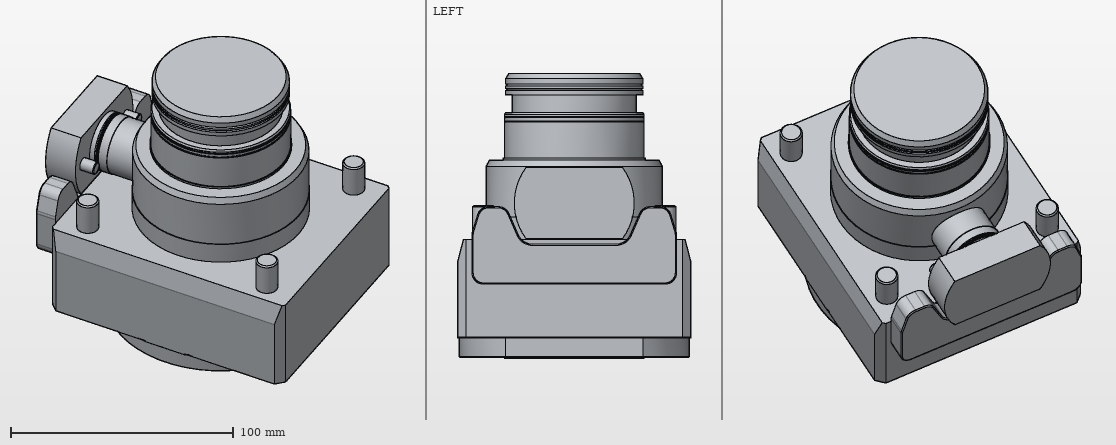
import cadquery as cq

overall_length = 135.0

block_length = 119.6
block_width = 105.0
block_height = 44.0
corner_chamfer = 3.8
bevel_drop = 10.0
bevel_inset = 2.5
block_face_x = -block_length / 2

gasket_diameter = 106.9
gasket_thickness = 0.4
flange_diameter = 104.0
flange_flat_width = 83.4
flange_bottom = -9.2
flange_chamfer = 0.4
lip_diameter = 63.0
lip_bottom = -9.7

collar_diameter = 80.0
collar_top = 54.1
drum_diameter = 79.5
drum_top = 79.6
drum_bevel_inset = 1.5
drum_bevel_drop = 2.8
step_diameter = 64.0
step_top = 80.6
body_diameter = 63.0
body_top = 101.1
neck_diameter = 56.0
neck_top = 109.1
cap_diameter = 62.0
cap_top = 118.8
cap_crown_diameter = 58.9
cap_bevel_drop = 2.4
body_rim_diameter = 62.0
body_rim_bevel_drop = 1.0
body_groove_diameter = 62.0
body_groove_levels = (99.1, 97.0)
body_groove_height = 0.4
cap_groove_diameter = 59.8
cap_groove_top = 114.0
cap_groove_bottom = 111.1
cap_groove_height = 1.0

pin_diameter = 10.0
pin_top = 59.3
pin_chamfer = 0.7
pin_spacing_x = 91.8
pin_spacing_y = 81.8

knob_z = 60.3
knob_diameter = 54.0
knob_flat_height = 32.0
knob_thickness = overall_length - block_length
shaft_diameter = 26.9
sleeve_diameter = 27.4
sleeve_length = 8.8
seal_diameter = 27.5
seal_starts = (2.4, 3.8)
seal_width = 0.7
stud_diameter = 6.0
stud_length = 7.0
stud_chamfer = 0.4
stud_spacing = 40.0

guard_thickness = 10.0
guard_half_width = 46.0
guard_bottom = 23.9
guard_top = 58.7
guard_shoulder_y = 42.4
guard_shoulder_z = 47.0
notch_floor_z = 41.8
notch_floor_half_width = 23.4
notch_mouth_half_width = 30.8
guard_radius = 5.0
notch_radius = 7.0
guard_edge_chamfer = 0.5


def disc(diameter, bottom, top):
    return cq.Workplane("XY").workplane(offset=bottom).circle(diameter / 2).extrude(top - bottom)


def side_rod(diameter, length, y=0.0, start=0.0):
    """Round rod along +X, measured from the block's -X face at knob height."""
    plane = cq.Workplane("YZ", origin=(block_face_x + start, y, knob_z))
    return plane.circle(diameter / 2).extrude(length)


def make_block():
    block = cq.Workplane("XY").box(block_length, block_width, block_height, centered=(True, True, False))
    block = block.edges("|Z").chamfer(corner_chamfer)
    half_width = block_width / 2
    bevel_outline = [
        (-half_width, 0),
        (half_width, 0),
        (half_width, block_height - bevel_drop),
        (half_width - bevel_inset, block_height),
        (bevel_inset - half_width, block_height),
        (-half_width, block_height - bevel_drop),
    ]
    envelope = cq.Workplane("YZ").polyline(bevel_outline).close().extrude(block_length / 2, both=True)
    return block.intersect(envelope)


def make_flange():
    gasket_limit = cq.Workplane("XY").rect(gasket_diameter, block_width).extrude(-gasket_thickness)
    gasket = disc(gasket_diameter, -gasket_thickness, 0).intersect(gasket_limit)
    flange_limit = cq.Workplane("XY").rect(flange_flat_width, flange_diameter).extrude(flange_bottom)
    flange = disc(flange_diameter, flange_bottom, 0).intersect(flange_limit)
    flange = flange.faces("<Z").chamfer(flange_chamfer)
    return gasket.union(flange).union(disc(lip_diameter, lip_bottom, 0))


def cut_body_groove(turret, level):
    bottom = level - body_groove_height / 2
    top = level + body_groove_height / 2
    ring = disc(body_diameter, bottom, top).cut(disc(body_groove_diameter, bottom, top))
    return turret.cut(ring)


def make_turret():
    drum_radius = drum_diameter / 2
    cap_radius = cap_diameter / 2
    cap_groove_radius = cap_groove_diameter / 2
    profile = [
        (0, 0),
        (collar_diameter / 2, 0),
        (collar_diameter / 2, collar_top),
        (drum_radius, collar_top),
        (drum_radius, drum_top - drum_bevel_drop),
        (drum_radius - drum_bevel_inset, drum_top),
        (step_diameter / 2, drum_top),
        (step_diameter / 2, step_top),
        (body_diameter / 2, step_top),
        (body_diameter / 2, body_top - body_rim_bevel_drop),
        (body_rim_diameter / 2, body_top),
        (neck_diameter / 2, body_top),
        (neck_diameter / 2, neck_top),
        (cap_radius, neck_top),
        (cap_radius, cap_groove_bottom),
        (cap_groove_radius, cap_groove_bottom),
        (cap_radius, cap_groove_bottom + cap_groove_height),
        (cap_radius, cap_groove_top - cap_groove_height),
        (cap_groove_radius, cap_groove_top),
        (cap_radius, cap_groove_top),
        (cap_radius, cap_top - cap_bevel_drop),
        (cap_crown_diameter / 2, cap_top),
        (0, cap_top),
    ]
    turret = cq.Workplane("XZ").polyline(profile).close().revolve(360, (0, 0, 0), (0, 1, 0))
    for level in body_groove_levels:
        turret = cut_body_groove(turret, level)
    return turret


def make_pins():
    pins = cq.Workplane("XY").rect(pin_spacing_x, pin_spacing_y, forConstruction=True).vertices()
    return pins.circle(pin_diameter / 2).extrude(pin_top).faces(">Z").chamfer(pin_chamfer)


def make_knob():
    knob = side_rod(knob_diameter, -knob_thickness)
    flats = cq.Workplane("YZ", origin=(block_face_x, 0, knob_z))
    knob = knob.intersect(flats.rect(knob_diameter, knob_flat_height).extrude(-knob_thickness))
    knob = knob.union(side_rod(shaft_diameter, -block_face_x))
    first_seal, last_seal = seal_starts
    knob = knob.union(side_rod(sleeve_diameter, first_seal))
    knob = knob.union(side_rod(sleeve_diameter, sleeve_length - last_seal, start=last_seal))
    for start in seal_starts:
        knob = knob.union(side_rod(seal_diameter, seal_width, start=start))
    for y in (-stud_spacing / 2, stud_spacing / 2):
        knob = knob.union(side_rod(stud_diameter, stud_length, y).faces(">X").chamfer(stud_chamfer))
    return knob


def guard_prism(half_outline):
    """Prism on the block's -X face with an outline mirrored about Y = 0."""
    mirrored = [(-y, z) for y, z in reversed(half_outline)]
    plane = cq.Workplane("YZ", origin=(block_face_x, 0, 0))
    return plane.polyline(half_outline + mirrored).close().extrude(-guard_thickness)


def make_guard():
    plate = guard_prism([
        (guard_half_width, guard_bottom),
        (guard_half_width, guard_shoulder_z),
        (guard_shoulder_y, guard_top),
    ])
    plate = plate.edges("|X").fillet(guard_radius)
    notch = guard_prism([
        (notch_floor_half_width, notch_floor_z),
        (notch_mouth_half_width, guard_top),
    ])
    notch = notch.faces("<Z").edges("|X").fillet(notch_radius)
    margin = 1.4
    mouth = cq.selectors.BoxSelector(
        (block_face_x - guard_thickness, -notch_mouth_half_width - margin, guard_top - margin),
        (block_face_x, notch_mouth_half_width + margin, guard_top + margin),
    )
    guard = plate.cut(notch).edges("|X").edges(mouth).fillet(guard_radius)
    return guard.faces("<X").chamfer(guard_edge_chamfer)


result = (
    make_block()
    .union(make_flange())
    .union(make_turret())
    .union(make_pins())
    .union(make_knob())
    .union(make_guard())
)